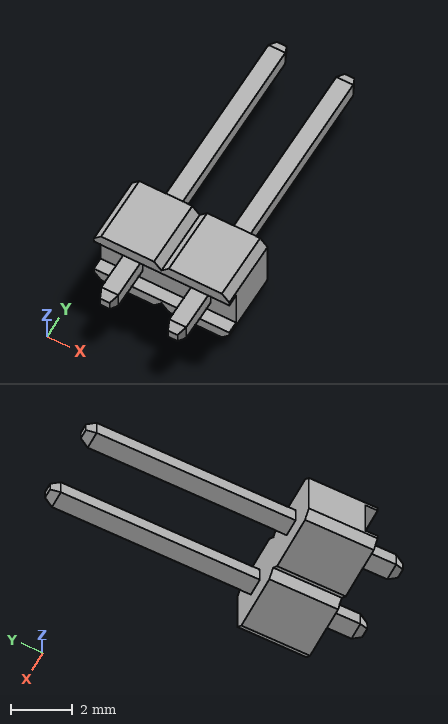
import cadquery as cq

pin_count = 2
pitch = 2.54
body_height = 2.54
body_depth = 2.52
corner_width = 0.28
corner_height = 0.31
channel_height = 1.58
channel_depth = 0.45
pin_length = 11.6
pin_width = 0.64
pin_front_reach = 1.48
tip_length = 0.32
tip_width = 0.36

row_width = pin_count * pitch
pin_positions = [(i - (pin_count - 1) / 2) * pitch for i in range(pin_count)]


def body_cell(x):
    """One bevelled housing block; neighbouring bevels form the V notches."""
    half_width = pitch / 2
    half_height = body_height / 2
    flat_x = half_width - corner_width
    side_z = half_height - corner_height
    outline = [
        (-flat_x, -half_height),
        (flat_x, -half_height),
        (half_width, -side_z),
        (half_width, side_z),
        (flat_x, half_height),
        (-flat_x, half_height),
        (-half_width, side_z),
        (-half_width, -side_z),
    ]
    return cq.Workplane("XZ").polyline(outline).close().extrude(-body_depth).translate((x, 0, 0))


def pin(x):
    """A square pin along Y with a tapered tip at each end."""
    shaft_length = pin_length - 2 * tip_length
    shaft_start = tip_length - pin_front_reach
    shaft_end = shaft_start + shaft_length

    def tip(base_y, direction):
        return (
            cq.Workplane("XZ", origin=(x, base_y, 0))
            .rect(pin_width, pin_width)
            .workplane(offset=-direction * tip_length)
            .rect(tip_width, tip_width)
            .loft(ruled=True)
        )

    shaft = cq.Workplane("XZ", origin=(x, shaft_start, 0)).rect(pin_width, pin_width).extrude(-shaft_length)
    return shaft.union(tip(shaft_start, -1)).union(tip(shaft_end, 1))


body = body_cell(pin_positions[0])
for x in pin_positions[1:]:
    body = body.union(body_cell(x))

channel = cq.Workplane("XY").box(row_width, channel_depth, channel_height, centered=(True, False, True))
result = body.cut(channel)

for x in pin_positions:
    result = result.union(pin(x))